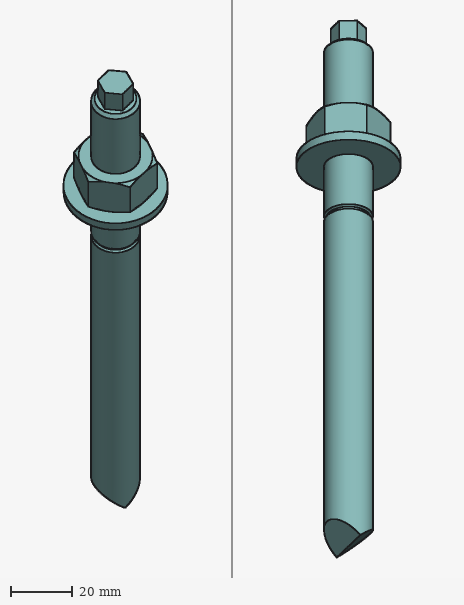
import cadquery as cq
import math

stud_length = 198.0
stud_diameter = 16.0
stud_radius = stud_diameter / 2
tip_height = 7.1

drive_height = 8.0
drive_across_flats = 10.0
shank_top = stud_length - drive_height
shank_chamfer = 1.2

groove_center = 125.1
groove_width = 1.8
groove_floor_width = 0.8
groove_depth = 0.8

washer_diameter = 34.0
washer_thickness = 3.2
washer_bottom = 145.1
washer_top = washer_bottom + washer_thickness

nut_height = 14.0
nut_across_flats = 24.0
nut_face_diameter = 24.2
nut_chamfer_angle = 30.0
nut_turn = -3.0


def corner_diameter(across_flats):
    """Distance across the corners of a regular hexagon."""
    return across_flats / math.cos(math.radians(30))


def make_shank():
    """Round shank with a chamfered upper edge."""
    shank = cq.Workplane("XY").circle(stud_radius).extrude(shank_top)
    return shank.faces(">Z").edges().chamfer(shank_chamfer)


def make_tip_envelope():
    """Prism along X whose two lower faces form the chisel tip."""
    return (
        cq.Workplane("YZ")
        .moveTo(0, 0)
        .lineTo(stud_radius, tip_height)
        .lineTo(stud_radius, stud_length)
        .lineTo(-stud_radius, stud_length)
        .lineTo(-stud_radius, tip_height)
        .close()
        .extrude(stud_radius, both=True)
    )


def make_groove_cutter():
    """Ring with a trapezoidal section, narrowest at the groove floor."""
    floor_radius = stud_radius - groove_depth
    return (
        cq.Workplane("XZ")
        .moveTo(stud_radius, groove_center - groove_width / 2)
        .lineTo(floor_radius, groove_center - groove_floor_width / 2)
        .lineTo(floor_radius, groove_center + groove_floor_width / 2)
        .lineTo(stud_radius, groove_center + groove_width / 2)
        .close()
        .revolve(360, (0, 0, 0), (0, 1, 0))
    )


def make_stud():
    """Shank with chisel tip, groove and hexagonal drive."""
    drive = (
        cq.Workplane("XY", origin=(0, 0, shank_top))
        .polygon(6, corner_diameter(drive_across_flats))
        .extrude(drive_height)
    )
    pointed_shank = make_shank().intersect(make_tip_envelope())
    return pointed_shank.cut(make_groove_cutter()).union(drive)


def make_washer():
    """Flat ring fitting the stud."""
    return (
        cq.Workplane("XY", origin=(0, 0, washer_bottom))
        .circle(washer_diameter / 2)
        .circle(stud_radius)
        .extrude(washer_thickness)
    )


def make_nut_envelope():
    """Double cone that chamfers the corners at both ends of the nut."""
    corner_radius = corner_diameter(nut_across_flats) / 2
    face_radius = nut_face_diameter / 2
    chamfer_height = (corner_radius - face_radius) * math.tan(math.radians(nut_chamfer_angle))
    return (
        cq.Workplane("XZ", origin=(0, 0, washer_top))
        .moveTo(0, 0)
        .lineTo(face_radius, 0)
        .lineTo(corner_radius, chamfer_height)
        .lineTo(corner_radius, nut_height - chamfer_height)
        .lineTo(face_radius, nut_height)
        .lineTo(0, nut_height)
        .close()
        .revolve(360, (0, 0, 0), (0, 1, 0))
    )


def make_nut():
    """Hexagonal nut fitting the stud, turned slightly about the axis."""
    hexagon = (
        cq.Workplane("XY", origin=(0, 0, washer_top))
        .polygon(6, corner_diameter(nut_across_flats))
        .circle(stud_radius)
        .extrude(nut_height)
        .rotate((0, 0, 0), (0, 0, 1), nut_turn)
    )
    return hexagon.intersect(make_nut_envelope())


stud = make_stud()
washer = make_washer()
nut = make_nut()

result = cq.Compound.makeCompound([stud.val(), washer.val(), nut.val()])